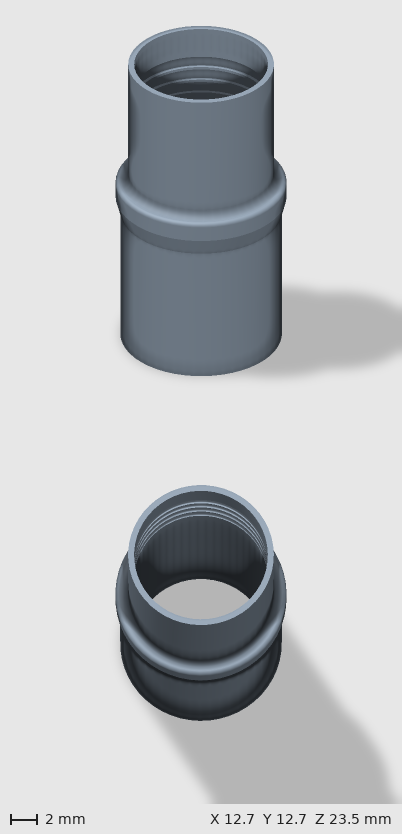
import cadquery as cq

total_height = 23.5
lower_radius = 6.0
upper_radius = 5.4
bore_radius = 4.95

collar_radius = 6.35
cone_bottom_z = 10.7
cone_top_z = 12.0
collar_top_z = 13.5
collar_rounding = 0.3
neck_fillet = 0.6

first_groove_depth = 2.42
groove_height = 0.9
land_height = 0.2
groove_depth = 0.25
wall_taper = 0.02
tapered_groove_count = 3
straight_groove_count = 1
groove_pitch = groove_height + land_height


def sleeve_body():
    """Revolve the outer contour with its collar, leaving a plain through bore."""
    rounding_start_radius = collar_radius - collar_rounding
    fillet_end_radius = upper_radius + neck_fillet
    diagonal = 0.5 ** 0.5
    outline = (
        cq.Workplane("XZ")
        .moveTo(bore_radius, 0)
        .lineTo(lower_radius, 0)
        .lineTo(lower_radius, cone_bottom_z)
        .lineTo(collar_radius, cone_top_z)
        .lineTo(collar_radius, collar_top_z - collar_rounding)
        .threePointArc(
            (
                rounding_start_radius + collar_rounding * diagonal,
                collar_top_z - collar_rounding + collar_rounding * diagonal,
            ),
            (rounding_start_radius, collar_top_z),
        )
        .lineTo(fillet_end_radius, collar_top_z)
        .threePointArc(
            (
                fillet_end_radius - neck_fillet * diagonal,
                collar_top_z + neck_fillet - neck_fillet * diagonal,
            ),
            (upper_radius, collar_top_z + neck_fillet),
        )
        .lineTo(upper_radius, total_height)
        .lineTo(bore_radius, total_height)
        .close()
    )
    return outline.revolve(360, (0, 0, 0), (0, 1, 0))


def groove_ring(top_z, taper):
    """Ring cut whose outer wall widens downward by taper above a flat floor."""
    bottom_z = top_z - groove_height
    wall_radius = bore_radius + groove_depth
    outline = (
        cq.Workplane("XZ")
        .moveTo(0, bottom_z)
        .lineTo(wall_radius, bottom_z)
        .lineTo(wall_radius - taper, top_z)
        .lineTo(0, top_z)
        .close()
    )
    return outline.revolve(360, (0, 0, 0), (0, 1, 0))


result = sleeve_body()
groove_tapers = [wall_taper] * tapered_groove_count + [0] * straight_groove_count
for index, taper in enumerate(groove_tapers):
    top_z = total_height - first_groove_depth - index * groove_pitch
    result = result.cut(groove_ring(top_z, taper))